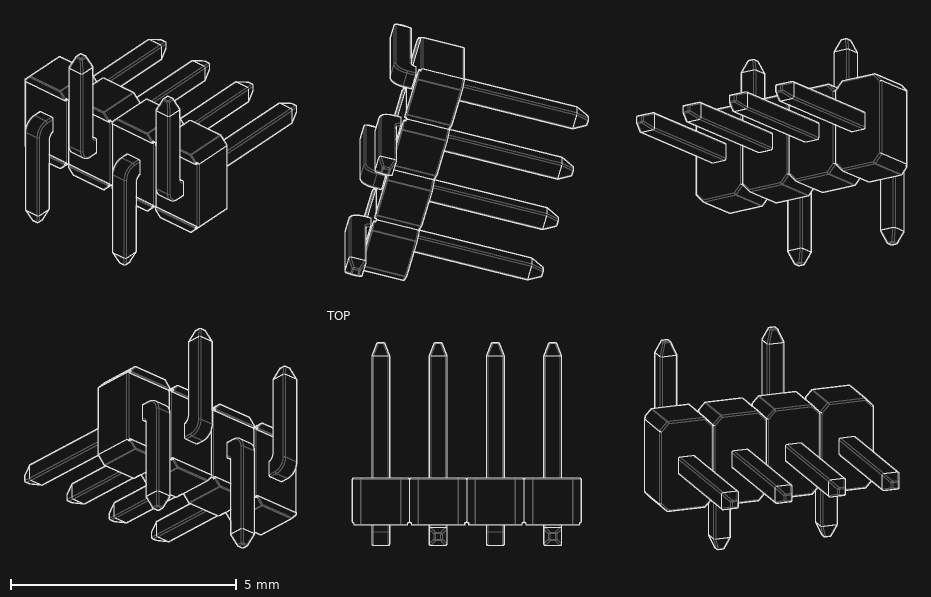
import cadquery as cq
import math

pin_count = 4
pitch = 1.27

housing_height = 2.1
housing_depth = 1.0
corner_width = 0.19
corner_height = 0.2
corner_rounding = 0.02
body_rounding = 0.04
rim_depth = 0.05
rim_height = 0.205
rim_rounding = 0.02

pin_width = 0.4
pin_rounding = 0.04
leg_half_span = 2.5
tail_length = 3.0
leg_front_distance = 1.5
bend_outer_radius = 0.3
bend_inner_radius = 0.14
tip_length = 0.3
tip_width = 0.17
tip_rounding = 0.03

selection_margin = 0.01

half_height = housing_height / 2
half_width = pitch / 2
half_pin = pin_width / 2
tip_taper = math.degrees(math.atan((half_pin - tip_width / 2) / tip_length))


def octagon_prism(rear_y, depth):
    """Rectangle with its four corners cut off, extruded from the rear plane toward -Y."""
    shoulder_x = half_width - corner_width
    shoulder_z = half_height - corner_height
    outline = [
        (-half_width, -shoulder_z),
        (-shoulder_x, -half_height),
        (shoulder_x, -half_height),
        (half_width, -shoulder_z),
        (half_width, shoulder_z),
        (shoulder_x, half_height),
        (-shoulder_x, half_height),
        (-half_width, shoulder_z),
    ]
    prism = cq.Workplane("XZ", origin=(0, rear_y, 0)).polyline(outline).close().extrude(depth)
    for flat in (">Z", "<Z"):
        prism = prism.faces(flat).edges("|Y").fillet(corner_rounding)
    return prism


def housing_body():
    """Main block, rounded around the rear face and along the upright front edges."""
    body = octagon_prism(0, housing_depth)
    body = body.faces(">Y").edges().fillet(body_rounding)
    return body.faces("<Y").edges("|Z").fillet(body_rounding)


def front_rims():
    """Shallow strips along the top and the bottom of the front face, with rounded front edges."""
    strip_width = pitch - 2 * body_rounding
    strips = []
    for side in (1, -1):
        blank = (
            cq.Workplane("XZ", origin=(0, -housing_depth, side * (half_height - rim_height / 2)))
            .rect(strip_width, rim_height)
            .extrude(rim_depth)
        )
        strip = octagon_prism(-housing_depth, rim_depth).intersect(blank)
        strips.append(strip.faces("<Y").edges().fillet(rim_rounding))
    return strips


def tip(pin_end):
    """Tapered end of a pin, grown from the selected end face."""
    square = pin_end.workplane(centerOption="CenterOfMass").rect(pin_width, pin_width)
    return square.extrude(tip_length, taper=tip_taper)


def arc_midpoint_offset(radius):
    """Distance of the middle of a quarter arc from each of its two tangent lines."""
    return radius * (1 - math.sqrt(0.5))


def thin_slab(center, reach):
    """Selector for the edges that lie wholly inside a box reaching this far around its centre."""
    low = tuple(c - r for c, r in zip(center, reach))
    high = tuple(c + r for c, r in zip(center, reach))
    return cq.selectors.BoxSelector(low, high, boundingbox=True)


def pin():
    """Square pin: a straight tail along +Y, a bend, and a leg that points down."""
    leg_front_y = -leg_front_distance
    leg_back_y = leg_front_y + pin_width
    tail_end = tail_length - tip_length
    leg_end = -(leg_half_span - tip_length)
    outer_offset = arc_midpoint_offset(bend_outer_radius)
    inner_offset = arc_midpoint_offset(bend_inner_radius)
    bar = (
        cq.Workplane("YZ")
        .moveTo(tail_end, half_pin)
        .lineTo(leg_front_y + bend_outer_radius, half_pin)
        .threePointArc(
            (leg_front_y + outer_offset, half_pin - outer_offset),
            (leg_front_y, half_pin - bend_outer_radius),
        )
        .lineTo(leg_front_y, leg_end)
        .lineTo(leg_back_y, leg_end)
        .lineTo(leg_back_y, -half_pin - bend_inner_radius)
        .threePointArc(
            (leg_back_y + inner_offset, -half_pin - inner_offset),
            (leg_back_y + bend_inner_radius, -half_pin),
        )
        .lineTo(tail_end, -half_pin)
        .close()
        .extrude(half_pin, both=True)
    )
    bar = tip(bar.faces(">Y"))
    bar = tip(bar.faces("<Z"))
    tail_ring = thin_slab((0, tail_end, 0), (pin_width, selection_margin, pin_width))
    leg_ring = thin_slab((0, leg_front_y + half_pin, leg_end), (pin_width, pin_width, selection_margin))
    crosswise = cq.selectors.StringSyntaxSelector("|X")
    bar = bar.edges(-(tail_ring + leg_ring + crosswise)).fillet(pin_rounding)
    return bar.faces(">Y or <Z").edges().fillet(tip_rounding)


def header_unit():
    """One solid: housing segment, its two rims and the pin through it, with the leg pointing down."""
    unit = housing_body()
    for rim in front_rims():
        unit = unit.union(rim)
    return unit.union(pin())


header_units = []
for position in range(pin_count):
    unit = header_unit()
    if position % 2 == 1:
        unit = unit.mirror("XY")
    center_x = (position - (pin_count - 1) / 2) * pitch
    header_units.append(unit.translate((center_x, 0, 0)))

result = cq.Compound.makeCompound([unit.val() for unit in header_units])